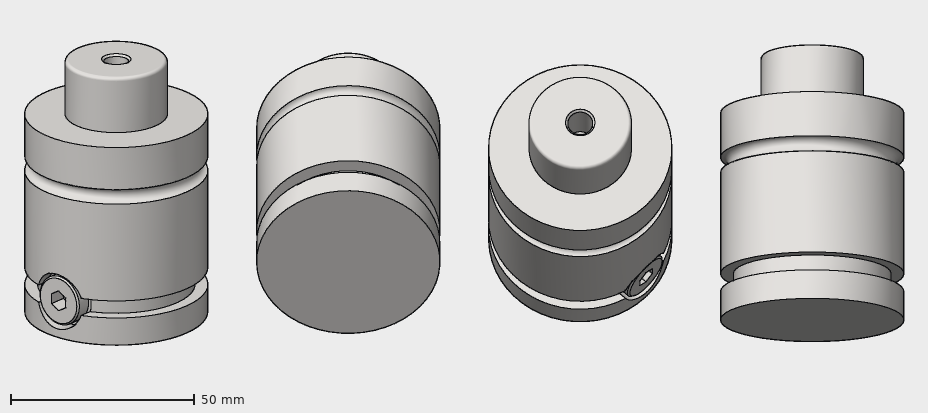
import cadquery as cq
import math

BODY_DIAMETER = 50.0
BODY_HEIGHT = 58.0
ROD_DIAMETER = 28.0
ROD_HEIGHT = 16.0
ROD_EDGE_RADIUS = 1.0

HOLE_DIAMETER = 6.8
HOLE_MOUTH_DIAMETER = 8.0
HOLE_DEPTH = 13.0
HOLE_TIP_ANGLE = 118.0

CLAMP_GROOVE_BOTTOM = 8.0
CLAMP_GROOVE_WIDTH = 5.0
CLAMP_GROOVE_DEPTH = 3.5

ROUND_GROOVE_HEIGHT = 43.5
ROUND_GROOVE_RADIUS = 2.1

PLUG_HEIGHT = CLAMP_GROOVE_BOTTOM + CLAMP_GROOVE_WIDTH / 2
PLUG_POCKET_DIAMETER = 16.0
PLUG_POCKET_DEPTH = 5.0
PLUG_DIAMETER = 14.0
PLUG_RECESS = 0.6
PLUG_CHAMFER = 0.5
PLUG_SOCKET_FLATS = 5.0
PLUG_SOCKET_DEPTH = 5.0

BODY_RADIUS = BODY_DIAMETER / 2
TOTAL_HEIGHT = BODY_HEIGHT + ROD_HEIGHT
FULL_TURN = 360.0


def make_body():
    """Cylindrical body with the round-edged rod standing on top."""
    body = cq.Workplane("XY").circle(BODY_RADIUS).extrude(BODY_HEIGHT)
    rod = cq.Workplane("XY", origin=(0, 0, BODY_HEIGHT)).circle(ROD_DIAMETER / 2).extrude(ROD_HEIGHT)
    return body.union(rod.faces(">Z").edges().fillet(ROD_EDGE_RADIUS))


def make_clamp_groove():
    """Square-section ring that cuts the clamping groove."""
    return (
        cq.Workplane("XY", origin=(0, 0, CLAMP_GROOVE_BOTTOM))
        .circle(BODY_RADIUS)
        .circle(BODY_RADIUS - CLAMP_GROOVE_DEPTH)
        .extrude(CLAMP_GROOVE_WIDTH)
    )


def make_round_groove():
    """Torus centred on the body's side that cuts the half-round groove."""
    return (
        cq.Workplane("XZ")
        .center(BODY_RADIUS, ROUND_GROOVE_HEIGHT)
        .circle(ROUND_GROOVE_RADIUS)
        .revolve(FULL_TURN, (-BODY_RADIUS, 0), (-BODY_RADIUS, 1))
    )


def make_threaded_hole():
    """Chamfered blind hole with a drill-point bottom, as a revolved cutter."""
    hole_radius = HOLE_DIAMETER / 2
    mouth_radius = HOLE_MOUTH_DIAMETER / 2
    mouth_depth = mouth_radius - hole_radius
    tip_length = hole_radius / math.tan(math.radians(HOLE_TIP_ANGLE / 2))
    hole_bottom = TOTAL_HEIGHT - HOLE_DEPTH
    return (
        cq.Workplane("XZ")
        .moveTo(0, TOTAL_HEIGHT)
        .lineTo(mouth_radius, TOTAL_HEIGHT)
        .lineTo(hole_radius, TOTAL_HEIGHT - mouth_depth)
        .lineTo(hole_radius, hole_bottom)
        .lineTo(0, hole_bottom - tip_length)
        .close()
        .revolve(FULL_TURN, (0, 0), (0, 1))
    )


def plug_plane(depth):
    """Plane facing -Y on the plug axis, at a depth below the body's side."""
    return cq.Workplane("XZ", origin=(0, depth - BODY_RADIUS, PLUG_HEIGHT))


def make_plug_pocket():
    """Round pocket around the plug, open towards -Y."""
    return plug_plane(PLUG_POCKET_DEPTH).circle(PLUG_POCKET_DIAMETER / 2).extrude(PLUG_POCKET_DEPTH)


def make_plug():
    """Plug filling the pocket's centre, with a chamfered outer edge."""
    return (
        plug_plane(PLUG_POCKET_DEPTH)
        .circle(PLUG_DIAMETER / 2)
        .extrude(PLUG_POCKET_DEPTH - PLUG_RECESS)
        .faces("<Y")
        .edges()
        .chamfer(PLUG_CHAMFER)
    )


def make_plug_socket():
    """Hexagon socket in the plug face, one corner pointing up."""
    return (
        plug_plane(PLUG_RECESS)
        .polygon(6, PLUG_SOCKET_FLATS, circumscribed=True)
        .extrude(-PLUG_SOCKET_DEPTH)
    )


result = (
    make_body()
    .cut(make_clamp_groove())
    .cut(make_round_groove())
    .cut(make_threaded_hole())
    .cut(make_plug_pocket())
    .union(make_plug())
    .cut(make_plug_socket())
)